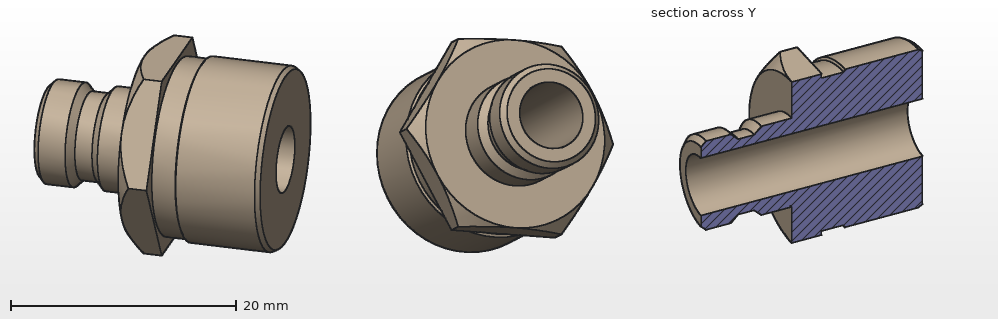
import cadquery as cq
import math

LENGTH = 22.0
X_PLUG_END = -LENGTH / 2
X_THREAD_END = LENGTH / 2
X_HEX_START = -2.0
X_HEX_END = 1.0

PLUG_RADIUS = 4.7
PLUG_CHAMFER = 0.5
COLLAR_LENGTH = 3.0
GROOVE_RADIUS = 4.0
GROOVE_MOUTH = 3.0
GROOVE_FLANK = PLUG_RADIUS - GROOVE_RADIUS

HEX_ACROSS_FLATS = 17.0
HEX_ACROSS_CORNERS = HEX_ACROSS_FLATS / math.cos(math.pi / 6)
HEX_FACE_RADIUS = HEX_ACROSS_FLATS / 2

UNDERCUT_RADIUS = 8.1
UNDERCUT_LENGTH = 2.15
THREAD_RADIUS = 8.35
THREAD_LEAD_LENGTH = 0.13
THREAD_END_LENGTH = 0.45

BORE_DIAMETER = 6.0


def turned(profile):
    """Revolve an (x, radius) outline, closed along the axis, around X."""
    outline = [(profile[0][0], 0)] + profile + [(profile[-1][0], 0)]
    return cq.Workplane("XY").polyline(outline).close().revolve(360, (0, 0), (1, 0))


def plug():
    """Stepped cylinder with a chamfered tip and a 45 degree flanked groove."""
    collar_start = X_PLUG_END + PLUG_CHAMFER
    groove_start = X_PLUG_END + COLLAR_LENGTH
    groove_end = groove_start + GROOVE_MOUTH
    return turned([
        (X_PLUG_END, PLUG_RADIUS - PLUG_CHAMFER),
        (collar_start, PLUG_RADIUS),
        (groove_start, PLUG_RADIUS),
        (groove_start + GROOVE_FLANK, GROOVE_RADIUS),
        (groove_end - GROOVE_FLANK, GROOVE_RADIUS),
        (groove_end, PLUG_RADIUS),
        (X_HEX_START, PLUG_RADIUS),
    ])


def hexagon():
    """Hexagonal flange with corners on the Y axis, trimmed by a cone."""
    prism = (
        cq.Workplane("YZ", origin=(X_HEX_START, 0, 0))
        .polygon(6, HEX_ACROSS_CORNERS)
        .extrude(X_HEX_END - X_HEX_START)
    )
    cone_end_radius = HEX_FACE_RADIUS + X_HEX_END - X_HEX_START
    cone = turned([(X_HEX_START, HEX_FACE_RADIUS), (X_HEX_END, cone_end_radius)])
    return prism.intersect(cone)


def thread_body():
    """Undercut and plain thread cylinder that tapers to the undercut radius at both ends."""
    lead_start = X_HEX_END + UNDERCUT_LENGTH
    return turned([
        (X_HEX_END, UNDERCUT_RADIUS),
        (lead_start, UNDERCUT_RADIUS),
        (lead_start + THREAD_LEAD_LENGTH, THREAD_RADIUS),
        (X_THREAD_END - THREAD_END_LENGTH, THREAD_RADIUS),
        (X_THREAD_END, UNDERCUT_RADIUS),
    ])


def bore():
    """Straight through hole along the axis."""
    return (
        cq.Workplane("YZ", origin=(X_PLUG_END, 0, 0))
        .circle(BORE_DIAMETER / 2)
        .extrude(LENGTH)
    )


result = plug().union(hexagon()).union(thread_body()).cut(bore())